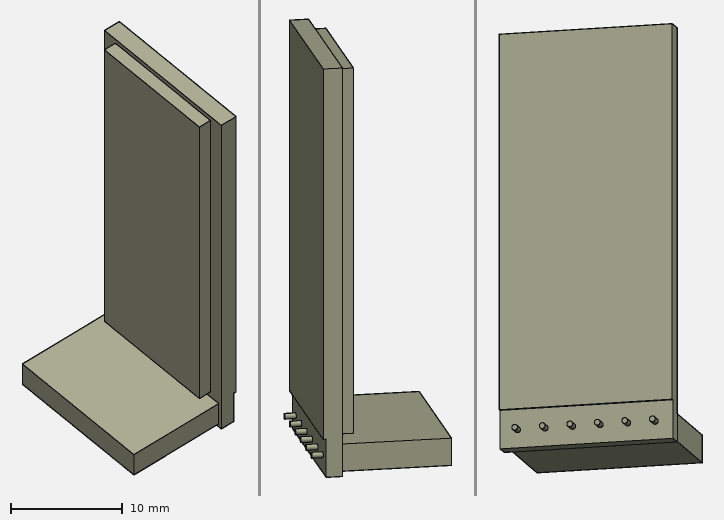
import cadquery as cq

board_width = 16.0
board_height = 38
board_thickness = 1.5

panel_width = 13.0
panel_height = 33.97
panel_thickness = 1.3
panel_top_margin = 0.5
panel_bottom = board_height - panel_top_margin - panel_height

backing_thickness = 0.25

block_width = 15.28
block_length = 10.0
block_height = 2.55
block_bottom = 0.38

pin_count = 6
pin_pitch = 2.55
pin_diameter = 0.55
pin_length = 1.03
pin_height = block_bottom + block_height / 2


def centred_box(width, depth, height, front, bottom):
    """Box centred on X, reaching back from the front Y and up from the bottom Z."""
    box = cq.Workplane("XY").box(width, depth, height, centered=(True, False, False))
    return box.translate((0, front, bottom))


def pin(x):
    """Round pin starting at the back face of the board."""
    back_face = cq.Workplane("XZ", origin=(x, board_thickness, pin_height))
    return back_face.circle(pin_diameter / 2).extrude(-pin_length)


board = centred_box(board_width, board_thickness, board_height, 0, 0)
panel = centred_box(panel_width, panel_thickness, panel_height, -panel_thickness, panel_bottom)
backing = centred_box(
    board_width, backing_thickness, board_height - panel_bottom, board_thickness, panel_bottom
)
block = centred_box(block_width, block_length, block_height, -block_length, block_bottom)

result = board.union(panel).union(backing).union(block)
for index in range(pin_count):
    result = result.union(pin((index - (pin_count - 1) / 2) * pin_pitch))